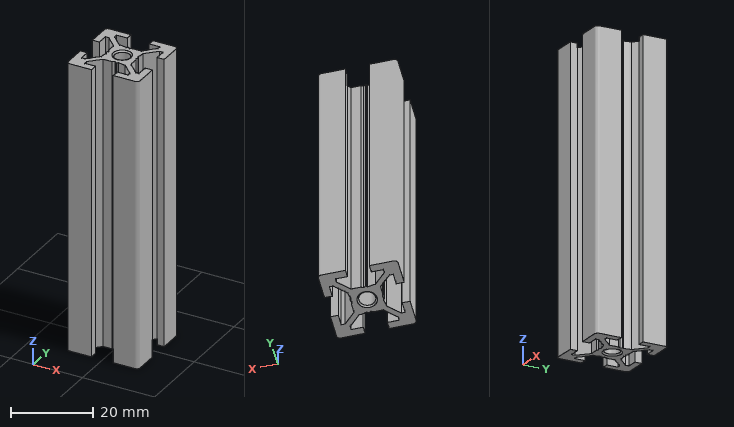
import cadquery as cq

side = 20.0
length = 80.0
corner_radius = 1.0

mouth_width = 6.0
lip_thickness = 2.0
cavity_half_width = 6.0
core_half_width = 4.1
web_offset = 1.0

bore_diameter = 4.2
bore_chamfer = 0.4

groove_depth = 0.3
mark_half_width = 0.6
ramp_start = 0.8
ramp_bottom = 1.0
ramp_end = 2.6

half_side = side / 2
mouth_half_width = mouth_width / 2
lip_inner = half_side - lip_thickness
cavity_corner = cavity_half_width + web_offset
floor_half_width = core_half_width - web_offset
groove_bottom = core_half_width - groove_depth


def slot_cutter():
    """T-slot open towards +Y, with a centre V and a ramped groove in its floor."""
    outline = [
        (mouth_half_width, half_side),
        (mouth_half_width, lip_inner),
        (cavity_half_width, lip_inner),
        (cavity_half_width, cavity_corner),
        (floor_half_width, core_half_width),
        (mark_half_width, core_half_width),
        (0, groove_bottom),
        (-mark_half_width, core_half_width),
        (-ramp_start, core_half_width),
        (-ramp_bottom, groove_bottom),
        (-ramp_end, core_half_width),
        (-floor_half_width, core_half_width),
        (-cavity_half_width, cavity_corner),
        (-cavity_half_width, lip_inner),
        (-mouth_half_width, lip_inner),
        (-mouth_half_width, half_side),
    ]
    return cq.Workplane("XY").polyline(outline).close().extrude(length)


def bore_cutter():
    """Through bore, chamfered at both ends."""
    bore_radius = bore_diameter / 2
    mouth_radius = bore_radius + bore_chamfer
    half_section = [
        (0, 0),
        (mouth_radius, 0),
        (bore_radius, bore_chamfer),
        (bore_radius, length - bore_chamfer),
        (mouth_radius, length),
        (0, length),
    ]
    return cq.Workplane("XZ").polyline(half_section).close().revolve(360, (0, 0), (0, 1))


profile = cq.Workplane("XY").rect(side, side).extrude(length)
profile = profile.edges("|Z").fillet(corner_radius)

slot = slot_cutter()
for angle in (0, 90, 180, 270):
    profile = profile.cut(slot.rotate((0, 0, 0), (0, 0, 1), angle))

result = profile.cut(bore_cutter())